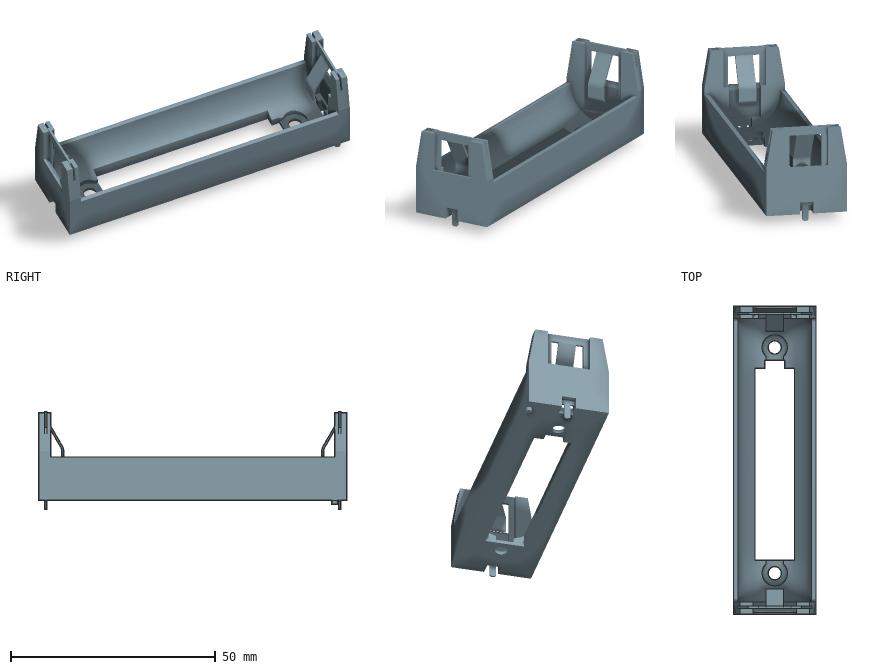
import cadquery as cq
import math

LENGTH = 75.5
WIDTH = 20.2
END_WALL = 3.0
END_HEIGHT = 21.5
END_TOP_WIDTH = 17.1
SHOULDER_Z = 12.0
RIM_Z = 10.65
CRADLE_RADIUS = 9.0

OPENING_WIDTH = 9.7
OPENING_END_Y = 24.45
OPENING_STEP_WIDTH = 4.8
OPENING_STEP_LENGTH = 2.0
HOLE_DIAMETER = 3.2
HOLE_Y = 27.6
PAD_DIAMETER = 6.2
PAD_CHANNEL_WIDTH = 4.4
PAD_Z = 0.8
PEG_DIAMETER = 1.5
PEG_HEIGHT = 1.0

SHEET = 0.5
SHEET_INSET = 1.5
PLATE_WIDTH = 13.0
PLATE_BOTTOM = 1.8
PLATE_TOP = 21.8
CORNER_RADIUS = 0.5
WINDOW_WIDTH = 8.0
WINDOW_BOTTOM = 4.0
WINDOW_TOP = 19.7
PIN_WIDTH = 1.6
PIN_TIP_Z = -2.2
SPRING_WIDTH = 4.4
SPRING_FACE_Y = 31.55
SPRING_BEND_Z = 12.5
SPRING_TIP_BEND_Z = 9.05
SPRING_TIP_RUN = 0.5
SPRING_BEND_RADIUS = 1.7
SPRING_TIP_RADIUS = 0.9

YOKE_WIDTH = 10.7
SILL_CHAMFER = 1.0
NOTCH_WIDTH = 3.5
NOTCH_HEIGHT = 2.95
SLOT_WIDTH = 18.3

END_Y = LENGTH / 2
WALL_Y = END_Y - END_WALL
SHEET_OUT_Y = END_Y - SHEET_INSET
SHEET_IN_Y = SHEET_OUT_Y - SHEET
CLEAR = 0.75


def block(width, y_range, z_range):
    """Box centred on X = 0 between two Y values and two Z values."""
    y0, y1 = y_range
    z0, z1 = z_range
    return cq.Workplane("XY").box(width, y1 - y0, z1 - z0).translate((0, (y0 + y1) / 2, (z0 + z1) / 2))


def turned(shape):
    """The shape turned half round about Z, from the +Y end to the -Y end."""
    return shape.rotate((0, 0, 0), (0, 0, 1), 180)


def housing_blank():
    """Tapered end outline run along Y, lowered to the rim and hollowed between the end walls."""
    outline = [
        (-WIDTH / 2, 0),
        (WIDTH / 2, 0),
        (WIDTH / 2, SHOULDER_Z),
        (END_TOP_WIDTH / 2, END_HEIGHT),
        (-END_TOP_WIDTH / 2, END_HEIGHT),
        (-WIDTH / 2, SHOULDER_Z),
    ]
    blank = cq.Workplane("XZ").polyline(outline).close().extrude(LENGTH).translate((0, END_Y, 0))
    above_rim = block(WIDTH + CLEAR, (-WALL_Y, WALL_Y), (RIM_Z, END_HEIGHT + CLEAR))
    cradle = cq.Workplane("XZ", origin=(0, WALL_Y, RIM_Z)).circle(CRADLE_RADIUS).extrude(2 * WALL_Y)
    return blank.cut(above_rim).cut(cradle)


def floor_opening():
    """Long opening in the floor, with a narrower step at its +Y end."""
    through_floor = (-CLEAR, RIM_Z)
    step_y = OPENING_END_Y - OPENING_STEP_LENGTH
    main = block(OPENING_WIDTH, (-OPENING_END_Y, step_y), through_floor)
    step = block(OPENING_STEP_WIDTH, (0, OPENING_END_Y), through_floor)
    return main.union(step)


def screw_seat():
    """Screw hole and its flat recess, joined to the floor opening by a channel."""
    hole = cq.Workplane("XY").center(0, HOLE_Y).circle(HOLE_DIAMETER / 2).extrude(RIM_Z)
    pad = cq.Workplane("XY", origin=(0, HOLE_Y, PAD_Z)).circle(PAD_DIAMETER / 2).extrude(RIM_Z - PAD_Z)
    channel = block(PAD_CHANNEL_WIDTH, (OPENING_END_Y - CLEAR, HOLE_Y), (PAD_Z, RIM_Z))
    return hole.union(pad).union(channel)


def end_wall_yoke():
    """U-shaped opening through the end wall, its sill sloping down to the sheet."""
    profile = [
        (END_Y + CLEAR, END_HEIGHT + CLEAR),
        (END_Y + CLEAR, SHOULDER_Z),
        (SHEET_OUT_Y + SILL_CHAMFER, SHOULDER_Z),
        (SHEET_OUT_Y, SHOULDER_Z - SILL_CHAMFER),
        (SHEET_OUT_Y, SHOULDER_Z),
        (WALL_Y - CLEAR, SHOULDER_Z),
        (WALL_Y - CLEAR, END_HEIGHT + CLEAR),
    ]
    return cq.Workplane("YZ").polyline(profile).close().extrude(YOKE_WIDTH / 2, both=True)


def sheet_slot():
    """Slot that holds the contact sheet, wider than the sheet above the window sill."""
    sheet_y = (SHEET_IN_Y, SHEET_OUT_Y)
    pocket = block(PLATE_WIDTH, sheet_y, (PLATE_BOTTOM, END_HEIGHT + CLEAR))
    wide_slot = block(SLOT_WIDTH, sheet_y, (SHOULDER_Z, END_HEIGHT + CLEAR))
    return pocket.union(wide_slot)


def end_wall_passages(inner_width):
    """Inner window of the given width behind the sheet, and the notch under it for the pin."""
    inner_window = block(inner_width, (WALL_Y - CLEAR, SHEET_OUT_Y), (WINDOW_BOTTOM, SHOULDER_Z))
    inner_notch = block(NOTCH_WIDTH, (WALL_Y, SHEET_OUT_Y), (0, WINDOW_BOTTOM))
    outer_notch = block(NOTCH_WIDTH, (WALL_Y, END_Y), (0, NOTCH_HEIGHT))
    return inner_window.union(inner_notch).union(outer_notch)


def locating_peg():
    """Small peg under the floor, flush with one long side and centred on the inner wall face."""
    peg_x = (WIDTH - PEG_DIAMETER) / 2
    return cq.Workplane("XY").center(peg_x, WALL_Y).circle(PEG_DIAMETER / 2).extrude(-PEG_HEIGHT)


def make_housing():
    body = housing_blank().cut(floor_opening())
    for make_cutter in (screw_seat, end_wall_yoke, sheet_slot):
        cutter = make_cutter()
        body = body.cut(cutter).cut(turned(cutter))
    body = body.cut(end_wall_passages(WINDOW_WIDTH))
    body = body.cut(turned(end_wall_passages(YOKE_WIDTH)))
    return body.union(locating_peg())


def contact_plate():
    """Flat window frame with rounded top corners and a solder pin below."""
    sheet_y = (SHEET_IN_Y, SHEET_OUT_Y)
    frame = block(PLATE_WIDTH, sheet_y, (PLATE_BOTTOM, PLATE_TOP))
    frame = frame.edges("|Y and >Z").fillet(CORNER_RADIUS)
    window = block(WINDOW_WIDTH, sheet_y, (WINDOW_BOTTOM, WINDOW_TOP))
    pin = block(PIN_WIDTH, sheet_y, (PIN_TIP_Z, PLATE_BOTTOM))
    pin = pin.edges("|Y and <Z").fillet(CORNER_RADIUS)
    return frame.cut(window).union(pin)


def contact_spring():
    """Tongue that slopes inward from the window top, hangs straight down and turns back at its tip."""
    back_y = SPRING_FACE_Y + SHEET
    slope_angle = math.atan2(WINDOW_TOP - SPRING_BEND_Z, SHEET_OUT_Y - back_y)
    front_bend_z = SPRING_BEND_Z + SHEET * math.tan(math.pi / 4 - slope_angle / 2)
    front_root_z = front_bend_z + (SHEET_IN_Y - SPRING_FACE_Y) * math.tan(slope_angle)
    tip_step = SHEET * math.sqrt(0.5)
    tip_y = SPRING_FACE_Y + SPRING_TIP_RUN
    tip_z = SPRING_TIP_BEND_Z - SPRING_TIP_RUN
    back_tip_bend_z = SPRING_TIP_BEND_Z + SHEET * math.tan(math.pi / 8)
    profile = [
        (SHEET_OUT_Y, WINDOW_TOP),
        (SHEET_IN_Y, front_root_z),
        (SPRING_FACE_Y, front_bend_z),
        (SPRING_FACE_Y, SPRING_TIP_BEND_Z),
        (tip_y, tip_z),
        (tip_y + tip_step, tip_z + tip_step),
        (back_y, back_tip_bend_z),
        (back_y, SPRING_BEND_Z),
    ]
    tongue = cq.Workplane("YZ").polyline(profile).close().extrude(SPRING_WIDTH / 2, both=True)
    bends = [
        (SPRING_FACE_Y, front_bend_z, SPRING_BEND_RADIUS + SHEET),
        (back_y, SPRING_BEND_Z, SPRING_BEND_RADIUS),
        (SPRING_FACE_Y, SPRING_TIP_BEND_Z, SPRING_TIP_RADIUS),
        (back_y, back_tip_bend_z, SPRING_TIP_RADIUS - SHEET),
    ]
    for y, z, radius in bends:
        tongue = tongue.edges(cq.selectors.NearestToPointSelector((0, y, z))).fillet(radius)
    return tongue


def make_contact():
    return contact_plate().union(contact_spring())


housing = make_housing()
contact = make_contact()
contacts = [contact, turned(contact)]

result = cq.Compound.makeCompound([housing.val(), *[body.val() for body in contacts]])